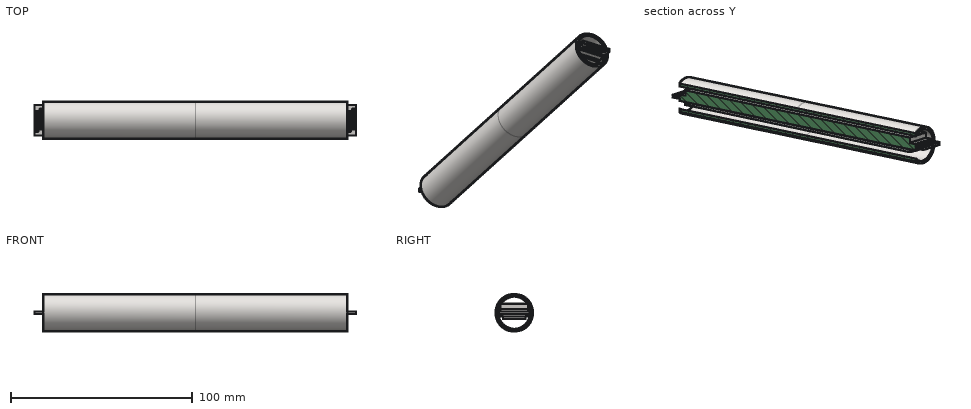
import cadquery as cq

TUBE_OUTER_DIAMETER = 20.7
TUBE_BORE_DIAMETER = 17.78
TUBE_LENGTH = 168.2

BOARD_LENGTH = 177.8
BOARD_WIDTH = 17.0
BOARD_THICKNESS = 1.6

BASE_LENGTH = 167.9
BASE_WIDTH = 15.6
BASE_HEIGHT = 1.15

BLOCK_SETBACK = 4.0
BLOCK_LENGTH = TUBE_LENGTH - 2 * BLOCK_SETBACK
UPPER_BLOCK_HEIGHT = 3.1
LOWER_BLOCK_WIDTH = 12.5
LOWER_BLOCK_HEIGHT = 1.5

HOLE_DIAMETER = 1.3
HOLE_PITCH = 2.54
HOLES_PER_ROW = 5
ROW_STAGGER = HOLE_PITCH / 2
ROW_SPACING = 2.12
OUTER_ROW_INSET = 1.5


def make_tube():
    """Plain round tube centred on the origin."""
    return (
        cq.Workplane("YZ")
        .circle(TUBE_OUTER_DIAMETER / 2)
        .circle(TUBE_BORE_DIAMETER / 2)
        .extrude(TUBE_LENGTH / 2, both=True)
    )


def layer(length, width, height, bottom):
    """Rectangular layer with its underside at the given Z."""
    return (
        cq.Workplane("XY", origin=(0, 0, bottom))
        .box(length, width, height, centered=(True, True, False))
    )


def make_upper_block(bottom):
    """Upper block, as wide as its base layer, with its upper sides rounded to fit the bore."""
    bore_space = cq.Workplane("YZ").circle(TUBE_BORE_DIAMETER / 2).extrude(BLOCK_LENGTH / 2, both=True)
    return layer(BLOCK_LENGTH, BASE_WIDTH, UPPER_BLOCK_HEIGHT, bottom).intersect(bore_space)


def hole_points():
    """Centres of the wire holes; the pattern at one end is the other turned half a turn about Z."""
    outer_x = BOARD_LENGTH / 2 - OUTER_ROW_INSET
    rows = (
        (outer_x, ROW_STAGGER / 2),
        (outer_x - ROW_SPACING, -ROW_STAGGER / 2),
    )
    points = []
    for end in (-1, 1):
        for row_x, row_shift in rows:
            for i in range(HOLES_PER_ROW):
                y = (i - (HOLES_PER_ROW - 1) / 2) * HOLE_PITCH + row_shift
                points.append((end * row_x, end * y))
    return points


def make_wire_holes():
    """Cutters for the wire holes, passing right through the board."""
    return (
        cq.Workplane("XY")
        .pushPoints(hole_points())
        .circle(HOLE_DIAMETER / 2)
        .extrude(BOARD_THICKNESS, both=True)
    )


def make_board():
    """Circuit board with its base layers, component blocks and wire holes."""
    board_top = BOARD_THICKNESS / 2
    base_top = board_top + BASE_HEIGHT
    lower_block_bottom = -base_top - LOWER_BLOCK_HEIGHT
    return (
        cq.Workplane("XY")
        .box(BOARD_LENGTH, BOARD_WIDTH, BOARD_THICKNESS)
        .union(layer(BASE_LENGTH, BASE_WIDTH, BASE_HEIGHT, board_top))
        .union(layer(BASE_LENGTH, BASE_WIDTH, BASE_HEIGHT, -base_top))
        .union(make_upper_block(base_top))
        .union(layer(BLOCK_LENGTH, LOWER_BLOCK_WIDTH, LOWER_BLOCK_HEIGHT, lower_block_bottom))
        .cut(make_wire_holes())
    )


tube = make_tube()
board = make_board()
result = cq.Compound.makeCompound([tube.val(), board.solids().val()])